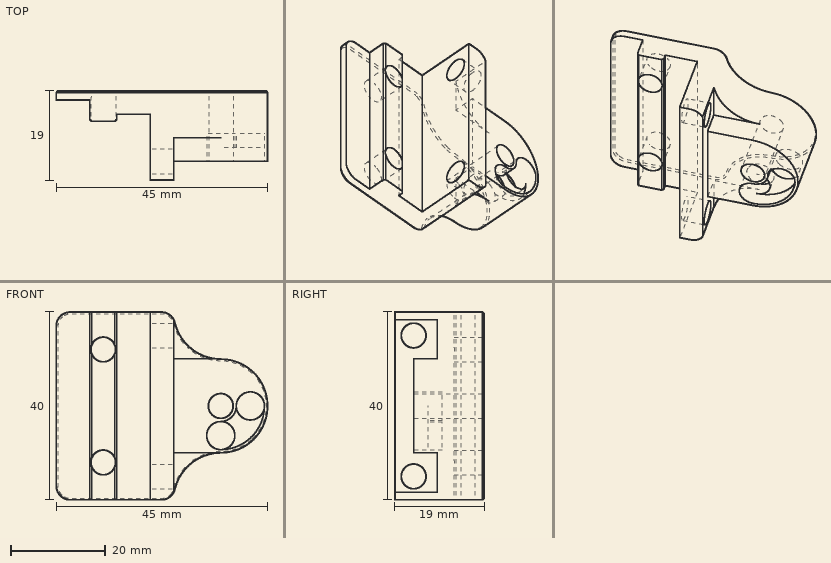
import cadquery as cq
import math

length = 45.0
height = 40.0
corner_radius = 3.0
back_chamfer = 0.35

plate_depth = 2.0
step_depth = 5.0
rib_depth = 6.5
web_depth = 10.0
boss_depth = 15.0
wall_depth = 19.0

rib_start = 7.1
rib_end = 12.9
rib_chamfer = 0.4
wall_start = 20.0
wall_end = 25.0

boss_radius = 10.0
boss_x = length - boss_radius
web_radius = height / 2 - boss_radius

hole_diameter = 5.2
rib_hole_x = (rib_start + rib_end) / 2
rib_hole_z = 12.0
wall_hole_z = 15.0
wall_hole_depth = 15.0

pocket_diameter = 6.0
slot_path_radius = 6.3
slot_depth = 3.0
pocket_depth = 6.0
slot_angles = (-90, 0)


def polar(radius, angle):
    """XZ point at an angle in degrees around the boss axis."""
    turn = math.radians(angle)
    return boss_x + radius * math.cos(turn), radius * math.sin(turn)


def from_back(depth=0):
    """Sketch plane facing forward; extruding it goes towards the front."""
    return cq.Workplane("XZ", origin=(0, -depth, 0))


def rounded_outline():
    """Flat outline with rounded corners that flow into the concave webs."""
    top = height / 2
    corner_z = top - corner_radius
    center_distance = web_radius + corner_radius
    corner_x = boss_x - math.sqrt(center_distance**2 - corner_radius**2)
    share = corner_radius / center_distance
    join_x = corner_x + share * (boss_x - corner_x)
    join_z = corner_z + share * corner_radius
    return (
        from_back()
        .moveTo(0, -corner_z)
        .lineTo(0, corner_z)
        .radiusArc((corner_radius, top), corner_radius)
        .lineTo(corner_x, top)
        .radiusArc((join_x, join_z), corner_radius)
        .radiusArc((boss_x, boss_radius), -web_radius)
        .threePointArc((length, 0), (boss_x, -boss_radius))
        .radiusArc((join_x, -join_z), -web_radius)
        .radiusArc((corner_x, -top), corner_radius)
        .lineTo(corner_radius, -top)
        .radiusArc((0, -corner_z), corner_radius)
        .close()
    )


def stepped_profile():
    """Plate, rib, wall and web depths as one profile running the full height."""
    return (
        cq.Workplane("XY", origin=(0, 0, -height / 2))
        .moveTo(0, 0)
        .lineTo(0, -plate_depth)
        .lineTo(rib_start, -plate_depth)
        .lineTo(rib_start, -rib_depth + rib_chamfer)
        .lineTo(rib_start + rib_chamfer, -rib_depth)
        .lineTo(rib_end - rib_chamfer, -rib_depth)
        .lineTo(rib_end, -rib_depth + rib_chamfer)
        .lineTo(rib_end, -step_depth)
        .lineTo(wall_start, -step_depth)
        .lineTo(wall_start, -wall_depth)
        .lineTo(wall_end, -wall_depth)
        .lineTo(wall_end, -web_depth)
        .lineTo(length, -web_depth)
        .lineTo(length, 0)
        .close()
        .extrude(height)
    )


def boss():
    """Round-ended boss rising from the web, attached to the wall."""
    return (
        from_back(web_depth)
        .moveTo(wall_end, boss_radius)
        .lineTo(boss_x, boss_radius)
        .threePointArc((length, 0), (boss_x, -boss_radius))
        .lineTo(wall_end, -boss_radius)
        .close()
        .extrude(boss_depth - web_depth)
    )


def curved_slot():
    """Arc-shaped slot and its end pockets, sunk into the boss front."""
    start, end = slot_angles
    middle = (start + end) / 2
    inner = slot_path_radius - pocket_diameter / 2
    outer = slot_path_radius + pocket_diameter / 2
    slot = (
        from_back(boss_depth - slot_depth)
        .moveTo(*polar(inner, start))
        .threePointArc(polar(inner, middle), polar(inner, end))
        .lineTo(*polar(outer, end))
        .threePointArc(polar(outer, middle), polar(outer, start))
        .close()
        .extrude(slot_depth)
    )
    pockets = (
        from_back(boss_depth - pocket_depth)
        .pushPoints([polar(slot_path_radius, angle) for angle in slot_angles])
        .circle(pocket_diameter / 2)
        .extrude(pocket_depth)
    )
    return slot.union(pockets)


def through_holes():
    """Two holes through the rib, one through the boss and two across the wall."""
    front_holes = (
        from_back()
        .pushPoints([(rib_hole_x, rib_hole_z), (rib_hole_x, -rib_hole_z), (boss_x, 0)])
        .circle(hole_diameter / 2)
        .extrude(wall_depth)
    )
    wall_holes = (
        cq.Workplane("YZ", origin=(wall_start, 0, 0))
        .pushPoints([(-wall_hole_depth, wall_hole_z), (-wall_hole_depth, -wall_hole_z)])
        .circle(hole_diameter / 2)
        .extrude(wall_end - wall_start)
    )
    return front_holes.union(wall_holes)


body = rounded_outline().extrude(wall_depth).intersect(stepped_profile())
body = body.faces(">Y").chamfer(back_chamfer)
result = body.union(boss()).cut(curved_slot()).cut(through_holes())